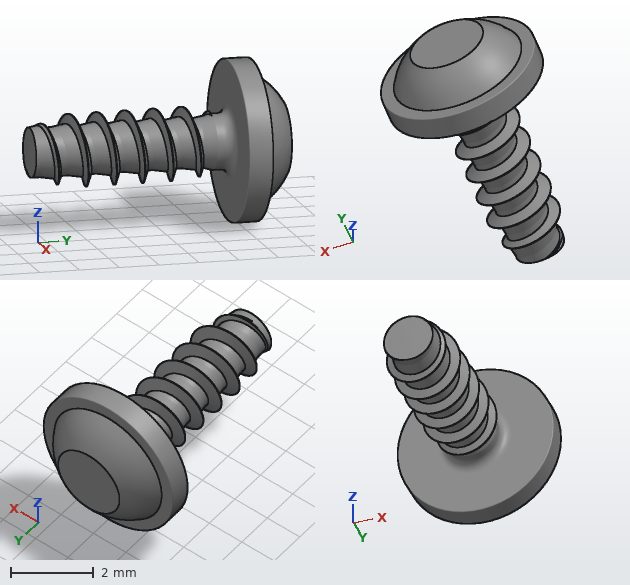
import cadquery as cq
import math


total_length = 6.35
flange_radius = 2.0
flange_thickness = 0.605
flange_edge_fillet = 0.025
dome_height = 0.75
dome_top_radius = 0.945
dome_base_radius = 1.66

shank_radius = 0.685
neck_fillet = 0.24
neck_length = 0.44
neck_taper = 0.32
tip_cone_radius = 0.57
tip_cone_height = 0.02

pitch = 0.71
core_radius = 0.605
crest_radius = 0.895
crest_flat = 0.02
head_flank_width = 0.14
tip_flank_width = 0.08
run_in_turns = 2.0
full_turns = 4.1
run_out_turns = 1.4
ridge_start_y = 0.32
buried_depth = 0.095

swell_radius = 0.66
swell_end = 0.5
swell_end_cover = 0.01
ridge_pieces = 15
points_per_piece = 8

head_height = flange_thickness + dome_height
shank_length = total_length - head_height
tip_edge_y = tip_cone_height - shank_length
thread_turns = run_in_turns + full_turns + run_out_turns


def revolve_about_y(profile):
    return profile.close().revolve(360, (0, 0, 0), (0, 1, 0))


def make_head():
    """Round flange carrying a spherical dome cut flat at the top."""
    flange = cq.Workplane("XZ").circle(flange_radius).extrude(-flange_thickness)
    flange = flange.edges().fillet(flange_edge_fillet)
    centre = (dome_height**2 + dome_top_radius**2 - dome_base_radius**2) / (2 * dome_height)
    sphere_radius = math.hypot(dome_base_radius, centre)
    middle = dome_height / 2
    middle_radius = math.sqrt(sphere_radius**2 - (middle - centre)**2)
    dome = revolve_about_y(
        cq.Workplane("XY")
        .moveTo(0, 0)
        .lineTo(0, head_height)
        .lineTo(dome_top_radius, head_height)
        .threePointArc((middle_radius, flange_thickness + middle), (dome_base_radius, flange_thickness))
        .lineTo(dome_base_radius, flange_thickness / 2)
        .lineTo(0, flange_thickness / 2)
    )
    return flange.union(dome)


def make_shank():
    """Neck with a fillet under the flange, a short taper, then the core down to a shallow conical tip."""
    diagonal = neck_fillet * (1 - math.sqrt(0.5))
    return revolve_about_y(
        cq.Workplane("XY")
        .moveTo(0, flange_thickness / 2)
        .lineTo(shank_radius + neck_fillet, flange_thickness / 2)
        .lineTo(shank_radius + neck_fillet, 0)
        .threePointArc((shank_radius + diagonal, -diagonal), (shank_radius, -neck_fillet))
        .lineTo(shank_radius, -neck_length)
        .lineTo(core_radius, -neck_length - neck_taper)
        .lineTo(core_radius, tip_edge_y)
        .lineTo(tip_cone_radius, tip_edge_y)
        .lineTo(0, -shank_length)
    )


def thread_sink(turn):
    """Depth of the crest below full height: zero on the full turns, level with the core at both ends."""
    full_end = run_in_turns + full_turns
    before = max(0, run_in_turns - turn) / run_in_turns
    after = max(0, turn - full_end) / run_out_turns
    return (crest_radius - core_radius) * (before + after)


def no_sink(turn):
    return 0


def helix_curve(radius, offset, sink, first_turn, last_turn):
    """Right-handed helix, offset from the crest towards the tip and sunk by sink(turn)."""
    points = []
    for i in range(points_per_piece + 1):
        turn = first_turn + (last_turn - first_turn) * i / points_per_piece
        angle = 2 * math.pi * turn
        r = radius - sink(turn)
        y = ridge_start_y - offset - pitch * turn
        points.append(cq.Vector(-r * math.sin(angle), y, r * math.cos(angle)))
    return cq.Edge.makeSpline(points)


def ridge_curves(first_turn, last_turn):
    """Edges of the ridge profile, in order round the profile, swept from first_turn to last_turn."""
    base_radius = core_radius - buried_depth
    head_base_width = head_flank_width * (crest_radius - base_radius) / (crest_radius - core_radius)
    corners = [
        (base_radius, -head_base_width, thread_sink),
        (crest_radius, -crest_flat / 2, thread_sink),
        (crest_radius, crest_flat / 2, thread_sink),
        (swell_radius, tip_flank_width, no_sink),
        (core_radius - swell_end_cover, swell_end, no_sink),
        (base_radius, swell_end, no_sink),
    ]
    return [helix_curve(*corner, first_turn, last_turn) for corner in corners]


def ridge_end(curves, end):
    """Flat face across the start (end = 0) or the finish (end = 1) of the ridge curves."""
    section = cq.Wire.makePolygon([curve.positionAt(end) for curve in curves], close=True)
    return cq.Face.makeFromWires(section)


def make_thread():
    """Thread and core swell as one helical ridge, trimmed to the threaded length."""
    step = thread_turns / ridge_pieces
    pieces = [ridge_curves(i * step, (i + 1) * step) for i in range(ridge_pieces)]
    faces = [ridge_end(pieces[0], 0), ridge_end(pieces[-1], 1)]
    for curves in pieces:
        for edge, next_edge in zip(curves, curves[1:] + curves[:1]):
            faces.append(cq.Face.makeRuledSurface(edge, next_edge))
    ridge = cq.Workplane(cq.Solid.makeSolid(cq.Shell.makeShell(faces)).fix())
    limits = (
        cq.Workplane("XZ", origin=(0, -neck_length, 0))
        .circle(crest_radius + buried_depth)
        .extrude(-neck_length - tip_edge_y)
    )
    return ridge.intersect(limits)


result = make_head().union(make_shank()).union(make_thread())